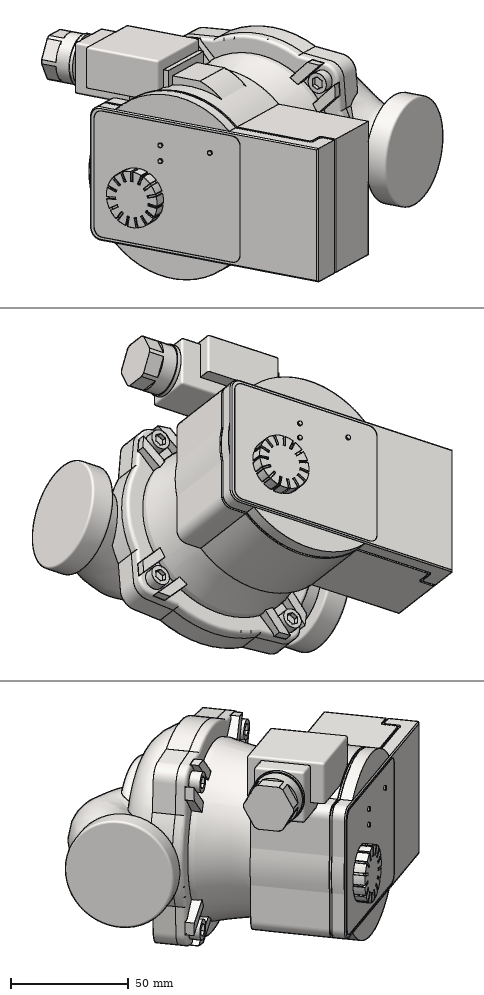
import cadquery as cq
import math


port_end = 65.3
port_width = 10.5
port_radius = 48.3 / 2
port_edge_fillet = 1.0
port_face = port_end - port_width
pipe_radius = 17.4
suction_bend_x = -21.7
suction_bend_y = -1.9
suction_bend_radius = 19.1
suction_start_slope = 0.35
suction_climb_degrees = 32
discharge_end_slope = 0.15

volute_x = 2.9
volute_ring_radius = 25.4
volute_tube_radius = 16.8
hub_x = 4.3
hub_radius = 27.2
hub_back = 14.5
hub_fillet = 4.3

flange_radius = 47.0
flange_back = -8.0
flange_joint = -18.1
flange_front = -22.9
flange_fillet = 1.5
bolt_offset = 33.5
pad_radius = 7.5
pad_reach = bolt_offset + pad_radius
pad_start = 20.9

motor_collar_radius = 39.4
motor_collar_front = -25.8
motor_waist_radius = 37.0
motor_waist_y = -37.0
motor_neck_radius = 70.5 / 2
motor_neck_start = -47.7
ear_start = 36.2
ear_inner_offset = 5.2
ear_outer_offset = 9.7
ear_low_front = -25.8
ear_high_front = -27.7

bolt_head_radius = 9.0 / 2
bolt_head_front = -27.8
bolt_shank_radius = 2.3
bolt_tip = -13.8
socket_corner_diameter = 5.7
socket_depth = 2.2

module_back = -51.0
module_front = -93.2
lobe_radius = 41.2
lobe_front = -92.6
box_left = -40.3
box_right = 72.5
box_half_height = 30.0
box_corner_fillet = 5.0
box_front_chamfer = 0.6
seam_gap = 1.0
seam_depth = 0.7
seam_front = -87.0
seam_step_x = 65.8
seam_step_y = -79.3
seam_fillet = 1.5
panel_left = -38.3
panel_right = 33.9
panel_half_height = 28.4
panel_fillet = 3.9
panel_depth = 0.1
panel_face = module_front + panel_depth
lamp_radius = 2.0 / 2
lamp_height = 0.6
lamp_places = [(-5.4, 18.1), (-5.4, 11.0), (19.1, 19.0)]
saddle_left = -8.4
saddle_flat_end = 5.2
saddle_right = 16.0
saddle_top = 44.3
saddle_back = -57.7
saddle_front = -78.1

knob_x = -16.5
knob_z = -6.8
knob_radius = 25.0 / 2
knob_front = -98.4
slot_count = 15
slot_width = 1.0
slot_inner_radius = 8.1
slot_depth = 1.0
flute_depth = 0.7

plug_left = -46.8
plug_right = -10.9
plug_back = -51.3
plug_front = -85.6
plug_bottom = 34.5
plug_top = 52.7
plug_fillet = 1.0
gland_y = -68.2
gland_z = 39.8
neck_block_left = -56.1
neck_block_right = -29.0
neck_block_half_depth = 11.2
neck_block_half_height = 11.5
gasket_back = -52.0
gasket_front = -81.6
gasket_bottom = 34.5
gasket_top = 47.7
gland_end = -72.5
hex_end = -65.3
barrel_end = -58.5
collar_end = -56.8
hex_corner_diameter = 23.0
barrel_diameter = 22.0
collar_diameter = 23.0
gland_neck_diameter = 17.0


def disc(radius, y_start, y_end, x=0.0, z=0.0):
    """Cylinder along Y between two Y positions."""
    return cq.Workplane("XZ", origin=(x, y_start, z)).circle(radius).extrude(y_start - y_end)


def block(x_range, y_range, z_range):
    """Axis-aligned box given by its limits."""
    limits = [sorted(pair) for pair in (x_range, y_range, z_range)]
    sizes = [high - low for low, high in limits]
    corner = cq.Vector(*[low for low, high in limits])
    return cq.Workplane(cq.Solid.makeBox(*sizes, corner))


def x_cylinder(diameter, x_start, x_end):
    """Cylinder along X on the gland axis."""
    plane = cq.Workplane("YZ", origin=(x_start, gland_y, gland_z))
    return plane.circle(diameter / 2).extrude(x_end - x_start)


def flange_plate(y_start, y_end):
    """Round flange with four rounded corner pads that carry the bolts."""
    pad_start_height = math.sqrt(flange_radius**2 - pad_start**2)
    pad_mid = bolt_offset + pad_radius * math.cos(math.pi / 4)
    plate = cq.Workplane("XZ", origin=(0, y_start, 0)).moveTo(pad_start_height, pad_start)
    for turn in range(4):
        cosine = round(math.cos(turn * math.pi / 2))
        sine = round(math.sin(turn * math.pi / 2))

        def turned(x, z):
            return (x * cosine - z * sine, x * sine + z * cosine)

        plate = plate.lineTo(*turned(pad_reach, bolt_offset))
        plate = plate.threePointArc(turned(pad_mid, pad_mid), turned(bolt_offset, pad_reach))
        plate = plate.lineTo(*turned(pad_start, pad_start_height))
        plate = plate.threePointArc(turned(0, flange_radius), turned(-pad_start, pad_start_height))
    return plate.close().extrude(y_start - y_end)


def bolt_places():
    return [(x, z) for x in (-bolt_offset, bolt_offset) for z in (-bolt_offset, bolt_offset)]


def bolt_shanks():
    """Shanks of all four bolts, used to cut their holes."""
    return (
        cq.Workplane("XZ", origin=(0, bolt_tip, 0))
        .pushPoints(bolt_places())
        .circle(bolt_shank_radius)
        .extrude(bolt_tip - flange_front)
    )


def make_port(side):
    """Blank pipe flange; side is -1 for suction and 1 for discharge."""
    port = cq.Workplane("YZ", origin=(side * port_face, 0, 0)).circle(port_radius)
    return port.extrude(side * port_width).edges().fillet(port_edge_fillet)


def make_suction_pipe():
    """Pipe that climbs from the suction port and bends down into the hub."""
    start = cq.Vector(-port_face, 0, 0)
    bend_points = []
    for degrees in (90 + suction_climb_degrees, 90, 45, 0):
        angle = math.radians(degrees)
        bend_points.append(
            cq.Vector(
                suction_bend_x + suction_bend_radius * math.cos(angle),
                suction_bend_y + suction_bend_radius * math.sin(angle),
                0,
            )
        )
    path = cq.Workplane(
        cq.Edge.makeSpline(
            [start, *bend_points],
            tangents=[cq.Vector(1, suction_start_slope, 0), cq.Vector(0, -1, 0)],
        )
    )
    return cq.Workplane("YZ", origin=start.toTuple()).circle(pipe_radius).sweep(path)


def make_discharge_pipe():
    """Pipe that leaves the top of the volute and swings over to the discharge port."""
    path_start = (volute_x, flange_back, volute_ring_radius)
    path = cq.Workplane(
        cq.Edge.makeSpline(
            [cq.Vector(*path_start), cq.Vector(port_face, 0, 0)],
            tangents=[cq.Vector(1, 0, 0), cq.Vector(1, discharge_end_slope, 0)],
        )
    )
    return cq.Workplane("YZ", origin=path_start).circle(volute_tube_radius).sweep(path)


def make_volute():
    """Half-round ring closed by a flat back, with the raised hub on it."""
    ring_top = flange_back + volute_tube_radius
    outer_radius = volute_ring_radius + volute_tube_radius
    arc_step = volute_tube_radius * math.cos(math.pi / 4)
    ring = (
        cq.Workplane("XY")
        .moveTo(0, flange_back)
        .lineTo(outer_radius, flange_back)
        .threePointArc(
            (volute_ring_radius + arc_step, flange_back + arc_step), (volute_ring_radius, ring_top)
        )
        .lineTo(0, ring_top)
        .close()
        .revolve(360, (0, 0, 0), (0, 1, 0))
        .translate((volute_x, 0, 0))
    )
    hub = disc(hub_radius, hub_back, flange_back, hub_x).faces(">Y").edges().fillet(hub_fillet)
    return ring.union(hub)


def make_housing():
    passages = make_volute().union(make_suction_pipe()).union(make_discharge_pipe())
    beyond_joint = block(
        (-port_end, port_end), (flange_joint, flange_joint - port_radius), (-port_end, port_end)
    ).intersect(disc(flange_radius, flange_joint, flange_joint - port_radius))
    housing = passages.cut(beyond_joint).union(flange_plate(flange_back, flange_joint))
    housing = housing.union(make_port(-1)).union(make_port(1))
    return housing.cut(bolt_shanks())


def make_ears():
    """Pairs of sloped radial ribs on both sides of every bolt."""
    inner = ear_start
    sunk_start = flange_front + flange_fillet / 2
    outer = bolt_offset * math.sqrt(2) + pad_radius
    rib_width = ear_outer_offset - ear_inner_offset
    rib = (
        cq.Workplane("XY", origin=(0, 0, ear_inner_offset))
        .polyline(
            [
                (inner, sunk_start),
                (outer, sunk_start),
                (outer, ear_low_front),
                (inner, ear_high_front),
            ]
        )
        .close()
        .extrude(rib_width)
    )
    pair = rib.union(rib.mirror("XY"))
    ears = cq.Workplane()
    for turn in range(4):
        ears = ears.union(pair.rotate((0, 0, 0), (0, 1, 0), 45 + 90 * turn))
    return ears.intersect(flange_plate(sunk_start, ear_high_front))


def make_motor():
    plate = flange_plate(flange_joint, flange_front).faces("<Y").edges().fillet(flange_fillet)
    can = (
        cq.Workplane("XY")
        .moveTo(0, flange_front)
        .lineTo(motor_collar_radius, flange_front)
        .lineTo(motor_collar_radius, motor_collar_front)
        .threePointArc((motor_waist_radius, motor_waist_y), (motor_neck_radius, motor_neck_start))
        .lineTo(motor_neck_radius, module_back)
        .lineTo(0, module_back)
        .close()
        .revolve(360, (0, 0, 0), (0, 1, 0))
    )
    return plate.union(can).union(make_ears()).cut(bolt_shanks())


def make_bolt(x, z):
    """Socket-head bolt seated on the motor flange."""
    bolt = disc(bolt_head_radius, flange_front, bolt_head_front, x, z)
    bolt = bolt.union(disc(bolt_shank_radius, bolt_tip, flange_front, x, z))
    socket = (
        cq.Workplane("XZ", origin=(x, bolt_head_front, z))
        .polygon(6, socket_corner_diameter)
        .extrude(-socket_depth)
        .rotate((x, 0, z), (x, 1, z), 90)
    )
    return bolt.cut(socket)


def module_envelope(inset=0.0):
    """Box and round lobe that the module base and cover share, optionally shrunk all round."""
    box = block(
        (box_left + inset, box_right - inset),
        (module_back, module_front),
        (-box_half_height + inset, box_half_height - inset),
    )
    box = box.edges("|Y and <X").fillet(box_corner_fillet)
    box = box.faces("<Y").edges().chamfer(box_front_chamfer)
    return box.union(disc(lobe_radius - inset, module_back, lobe_front))


def seam_region(shift):
    """Everything in front of the stepped seam, moved back and left by the shift."""
    far_x = 2 * box_right
    far_y = 2 * module_front
    step_x = seam_step_x - shift
    return (
        cq.Workplane("XY", origin=(0, 0, -box_right))
        .moveTo(-far_x, seam_front + shift)
        .lineTo(step_x, seam_front + shift)
        .lineTo(step_x, seam_step_y + shift)
        .lineTo(far_x, seam_step_y + shift)
        .lineTo(far_x, far_y)
        .lineTo(-far_x, far_y)
        .close()
        .extrude(2 * box_right)
        .edges("|Z")
        .fillet(seam_fillet)
    )


def make_saddle():
    """Socket on the lobe that the plug connects to, curving down to the lobe surface."""
    saddle_end_z = math.sqrt(lobe_radius**2 - saddle_right**2)
    bend_x = (saddle_flat_end + saddle_right) / 2
    bend_z = (saddle_top + saddle_end_z) / 2 + flute_depth
    return (
        cq.Workplane("XZ", origin=(0, saddle_back, 0))
        .moveTo(saddle_left, box_half_height)
        .lineTo(saddle_left, saddle_top)
        .lineTo(saddle_flat_end, saddle_top)
        .threePointArc((bend_x, bend_z), (saddle_right, saddle_end_z))
        .lineTo(saddle_right, box_half_height)
        .close()
        .extrude(saddle_back - saddle_front)
    )


def make_module_base():
    return module_envelope().cut(seam_region(seam_gap)).union(make_saddle())


def make_cover():
    """Cover with a lip that fills the bottom of the seam groove, a sunk panel and lamps."""
    lip = module_envelope(seam_depth).intersect(seam_region(seam_gap))
    cover = module_envelope().intersect(seam_region(0)).union(lip)
    panel = block(
        (panel_left, panel_right),
        (panel_face, module_front),
        (-panel_half_height, panel_half_height),
    )
    cover = cover.cut(panel.edges("|Y").fillet(panel_fillet))
    for x, z in lamp_places:
        cover = cover.union(disc(lamp_radius, panel_face, module_front - lamp_height, x, z))
    return cover


def make_knob():
    """Round knob with radial slots in its face that run into shallow flutes on its rim."""
    knob = disc(knob_radius, panel_face, knob_front)
    half_width = slot_width / 2
    slot = block(
        (slot_inner_radius, knob_radius + slot_width),
        (knob_front, knob_front + slot_depth),
        (-half_width, half_width),
    )
    flute = block(
        (knob_radius - flute_depth, knob_radius + slot_width),
        (knob_front, panel_face),
        (-half_width, half_width),
    )
    cutter = slot.union(flute)
    for index in range(slot_count):
        angle = -90 + index * 360 / slot_count
        knob = knob.cut(cutter.rotate((0, 0, 0), (0, 1, 0), angle))
    return knob.translate((knob_x, 0, knob_z))


def make_gland():
    """Hexagon, barrel, collar and thin neck of the cable gland."""
    gland = (
        cq.Workplane("YZ", origin=(gland_end, gland_y, gland_z))
        .polygon(6, hex_corner_diameter)
        .extrude(hex_end - gland_end)
        .intersect(x_cylinder(barrel_diameter, gland_end, hex_end))
    )
    gland = gland.union(x_cylinder(barrel_diameter, hex_end, barrel_end))
    gland = gland.union(x_cylinder(collar_diameter, barrel_end, collar_end))
    return gland.union(x_cylinder(gland_neck_diameter, collar_end, neck_block_left))


def make_connector(module_base):
    """Plug with its neck block, gasket and cable gland, shaped to sit on the module."""
    plug = block((plug_left, plug_right), (plug_back, plug_front), (plug_bottom, plug_top))
    plug = plug.edges("not <Z").fillet(plug_fillet)
    neck_block = block(
        (neck_block_left, neck_block_right),
        (gland_y - neck_block_half_depth, gland_y + neck_block_half_depth),
        (gland_z - neck_block_half_height, gland_z + neck_block_half_height),
    )
    neck_block = neck_block.edges("<X or |X").fillet(plug_fillet)
    gasket = block((plug_right, saddle_left), (gasket_back, gasket_front), (gasket_bottom, gasket_top))
    connector = plug.union(neck_block).union(gasket).union(make_gland())
    return connector.cut(module_base)


housing = make_housing()
motor = make_motor()
bolts = [make_bolt(x, z) for x, z in bolt_places()]
module_base = make_module_base()
cover = make_cover()
knob = make_knob()
connector = make_connector(module_base)

result = cq.Compound.makeCompound(
    [
        housing.val(),
        motor.val(),
        *[bolt.val() for bolt in bolts],
        module_base.val(),
        cover.val(),
        knob.val(),
        connector.val(),
    ]
)